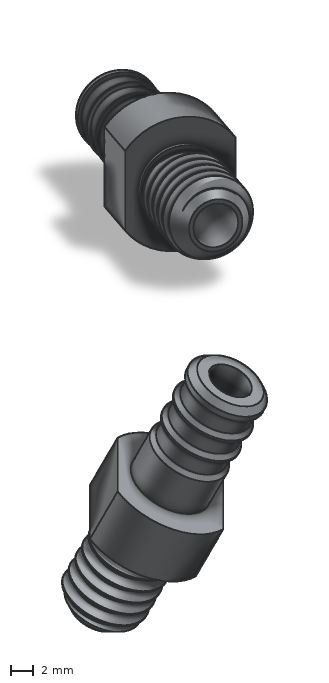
import cadquery as cq

length = 28.57
bore_radius = 2.05

barb_radius = 3.83
hose_radius = 3.43
tip_chamfer = 0.63
tip_length = 1.23
ring_heels = (3.8, 6.3)
ring_land = 0.23
ramp_length = 0.45
sleeve_start = 8.65

flange_start = 12.65
flange_end = 18.5
flange_diameter = 12.65
across_flats = 10.17

collar_end = 19.03
collar_radius = 3.83
neck_radius = 3.17

thread_start = 20.3
pitch = 1.4
crest_radius = 4.03
crest_width = 0.17
base_width = 1.15
root_overlap = 0.05
end_radius = 2.45
trim_margin = 0.29
helix_start = 19.35
helix_turns = 7


def cylinder(start, end, radius):
    return cq.Workplane("YZ").workplane(offset=start).circle(radius).extrude(end - start)


def revolve_profile(points):
    """Revolve an (X, radius) outline about the X axis."""
    outline = cq.Workplane("XY").polyline(points).close()
    return outline.revolve(360, (0, 0, 0), (1, 0, 0))


def make_barb():
    points = [
        (0, 0),
        (0, barb_radius - tip_chamfer),
        (tip_chamfer, barb_radius),
        (tip_length, barb_radius),
        (tip_length, hose_radius),
    ]
    for heel in ring_heels:
        points += [
            (heel - ring_land - ramp_length, hose_radius),
            (heel - ring_land, barb_radius),
            (heel, barb_radius),
            (heel, hose_radius),
        ]
    points += [
        (sleeve_start - ramp_length, hose_radius),
        (sleeve_start, barb_radius),
        (flange_start, barb_radius),
        (flange_start, 0),
    ]
    return revolve_profile(points)


def make_flange():
    flats = cq.Workplane("XY").box(length, across_flats, flange_diameter)
    flats = flats.translate((length / 2, 0, 0))
    return cylinder(flange_start, flange_end, flange_diameter / 2).intersect(flats)


def make_thread_ridge():
    flank_run = (base_width - crest_width) / 2
    extra_run = root_overlap * flank_run / (crest_radius - neck_radius)
    half_base = base_width / 2 + extra_run
    half_crest = crest_width / 2
    inner_radius = neck_radius - root_overlap
    helix = cq.Wire.makeHelix(pitch, helix_turns * pitch, neck_radius)
    ridge = (
        cq.Workplane("XZ")
        .polyline([
            (inner_radius, -half_base),
            (crest_radius, -half_crest),
            (crest_radius, half_crest),
            (inner_radius, half_base),
        ])
        .close()
        .sweep(cq.Workplane(obj=helix), isFrenet=True)
    )
    return ridge.rotate((0, 0, 0), (0, 1, 0), 90).translate((helix_start, 0, 0))


def make_threaded_end():
    core = cylinder(flange_end, length, neck_radius)
    trim_radius = crest_radius + trim_margin
    envelope = revolve_profile([
        (thread_start, 0),
        (thread_start, trim_radius),
        (length - (trim_radius - end_radius), trim_radius),
        (length, end_radius),
        (length, 0),
    ])
    ridge = make_thread_ridge().intersect(envelope)
    core = core.faces(">X").chamfer(neck_radius - end_radius)
    return core.union(ridge)


collar = cylinder(flange_end, collar_end, collar_radius)
bore = cylinder(0, length, bore_radius)
result = make_barb().union(make_flange()).union(collar).union(make_threaded_end()).cut(bore)